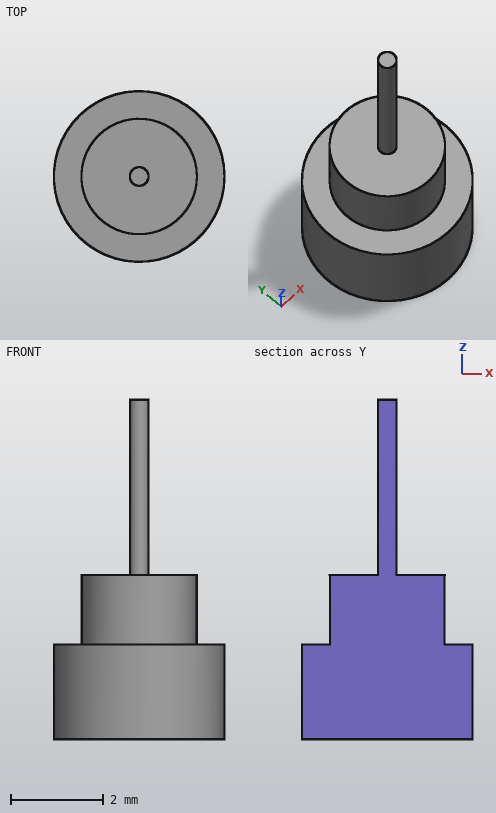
import cadquery as cq

total_height = 7.35
base_diameter = 3.7
base_height = 2.06
collar_diameter = 2.5
collar_height = 1.5
seal_diameter = 1.95
pin_diameter = 0.405

collar_top = base_height + collar_height


def cylinder(diameter, bottom, top):
    """Upright cylinder on the Z axis between two heights."""
    return cq.Workplane("XY").workplane(offset=bottom).circle(diameter / 2).extrude(top - bottom)


base = cylinder(base_diameter, 0, base_height)
collar = cylinder(collar_diameter, base_height, collar_top)
seal = cylinder(seal_diameter, base_height, collar_top)
housing = base.union(collar).cut(seal)

pin = cylinder(pin_diameter, collar_top, total_height)

result = housing.union(seal, clean=False).union(pin, clean=False)